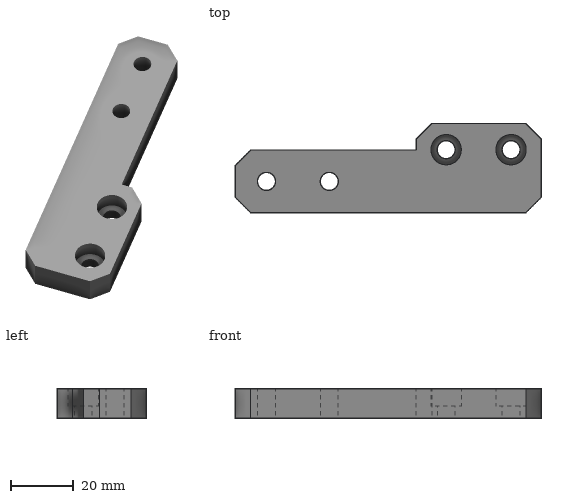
import cadquery as cq

length = 97.7
width = 28.5
thickness = 9.5
corner_chamfer = 5.0

arm_width = 20.0
head_start = 57.7

holes_per_pair = 2

hole_diameter = 5.7
arm_hole_y = arm_width / 2
arm_hole_first_x = arm_hole_y
arm_hole_spacing = 20.0

counterbore_diameter = 9.7
counterbore_depth = 5.5
head_hole_y = 20.1
head_hole_last_x = 88.0
head_hole_spacing = 20.7


def plate():
    """Stepped plate with every outer corner chamfered; the inner corner stays sharp."""
    outline = [
        (corner_chamfer, 0),
        (length - corner_chamfer, 0),
        (length, corner_chamfer),
        (length, width - corner_chamfer),
        (length - corner_chamfer, width),
        (head_start + corner_chamfer, width),
        (head_start, width - corner_chamfer),
        (head_start, arm_width),
        (corner_chamfer, arm_width),
        (0, arm_width - corner_chamfer),
        (0, corner_chamfer),
    ]
    return cq.Workplane("XY").polyline(outline).close().extrude(thickness)


def top_plane(body):
    """Workplane on the top face, with its origin above the outline's lower left corner."""
    return body.faces(">Z").workplane(origin=(0, 0, thickness))


arm_holes = [(arm_hole_first_x + i * arm_hole_spacing, arm_hole_y) for i in range(holes_per_pair)]
head_holes = [(head_hole_last_x - i * head_hole_spacing, head_hole_y) for i in range(holes_per_pair)]

body = plate()
body = top_plane(body).pushPoints(arm_holes).hole(hole_diameter)
result = top_plane(body).pushPoints(head_holes).cboreHole(
    hole_diameter, counterbore_diameter, counterbore_depth
)